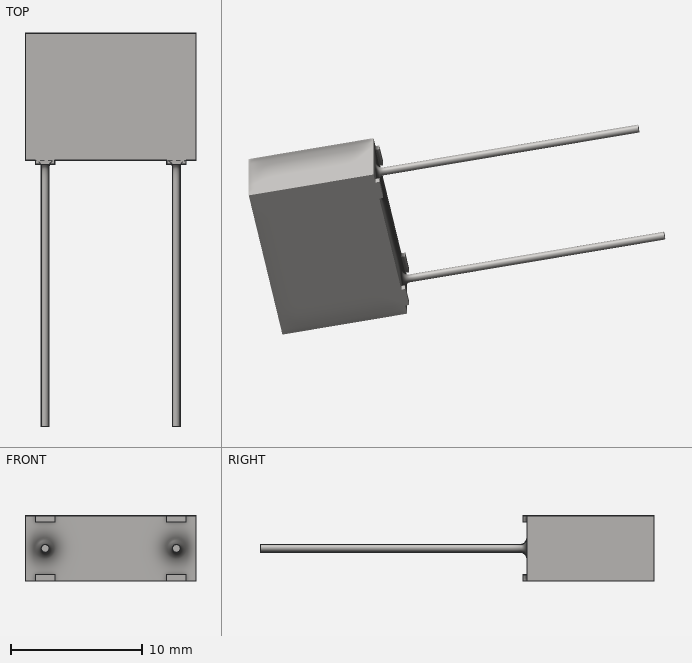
import cadquery as cq

body_width = 13.0
overall_length = 30.0
body_height = 5.0
body_depth = 9.7

foot_width = 1.5
foot_length = 0.3
foot_height = 0.5

lead_pitch = 10.0
lead_diameter = 0.6
lead_fillet_radius = 0.5

lead_radius = lead_diameter / 2
lead_length = overall_length - body_depth
flare_radius = lead_radius + lead_fillet_radius
lead_positions = (-lead_pitch / 2, lead_pitch / 2)


def make_body():
    """Box centred on X and Z, with its lead face on the plane Y = 0."""
    return cq.Workplane("XY").box(body_width, body_depth, body_height, centered=(True, False, True))


def make_foot(x, side):
    """Standoff foot flush with the top (side = 1) or bottom (side = -1) face."""
    z = side * (body_height - foot_height) / 2
    return (
        cq.Workplane("XY")
        .box(foot_width, foot_length, foot_height)
        .translate((x, -foot_length / 2, z))
    )


def make_lead(x):
    """Round lead along -Y, flared by a concave quarter circle at the body."""
    arc_offset = lead_fillet_radius * (1 - 0.5**0.5)
    profile = (
        cq.Workplane("XY")
        .moveTo(0, 0)
        .lineTo(flare_radius, 0)
        .threePointArc(
            (lead_radius + arc_offset, -arc_offset),
            (lead_radius, -lead_fillet_radius),
        )
        .lineTo(lead_radius, -lead_length)
        .lineTo(0, -lead_length)
        .close()
    )
    return profile.revolve(360, (0, 0, 0), (0, 1, 0)).translate((x, 0, 0))


result = make_body()
for lead_x in lead_positions:
    result = result.union(make_lead(lead_x))
    for foot_side in (-1, 1):
        result = result.union(make_foot(lead_x, foot_side))